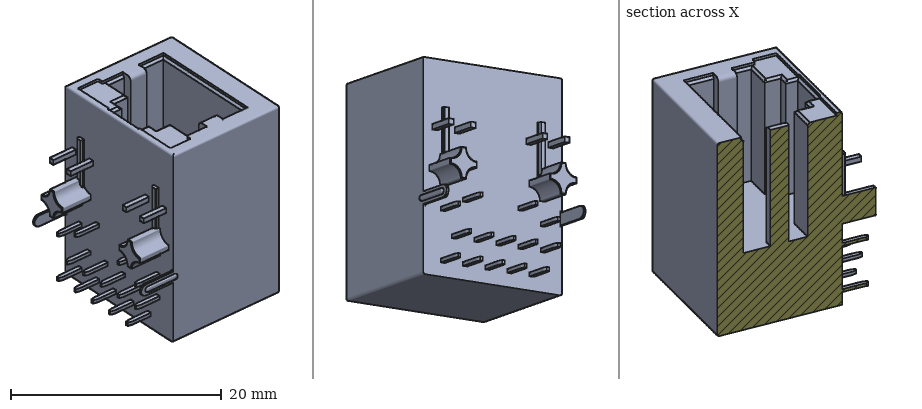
import cadquery as cq


body_width = 15.85
body_depth = 13.3
body_height = 21.25
edge_radius = 0.25
shell_thickness = 0.28
overlap = 0.1

mouth_half_width = 6.16
mouth_top = 10.75
mouth_bottom = 3.46
step_half_width = 3.35
step_bottom = 1.75
latch_half_width = 2.25
latch_bottom = 0.49
lead_in = 0.25
socket_depth = 12.75

lamp_half_width = 6.78
lamp_top = 3.15
lamp_bottom = 0.62
lamp_corner_radius = 0.13

tongue_bottom = 5.67
tongue_top = 7.67
tongue_inner_x = 5.0
tongue_bend_radius = 0.47

pin_columns = 5
pin_pitch = 2.53
pin_first_row = 1.57
pin_pair_spacing = 1.21
pin_width = 0.47
pin_thickness = 0.38
pin_length = 2.8
pin_taper_length = 0.49
pin_tip_width = 0.25
row_stagger = pin_pitch / 2
outer_pin_x = ((pin_columns - 1) * pin_pitch + row_stagger) / 2

lamp_pin_size = 0.55
lamp_pin_height = 14.5
lamp_pin_x = (4.08, 6.6)

post_height = 10.43
post_length = 3.6
post_half_span = 1.55
post_arm_half_width = 0.32
post_waist = 0.65
post_corner_radius = 0.1
post_end_chamfer = 0.08

rib_outer_x = 5.82
rib_width = 0.72
rib_rise = 0.38
rib_inner_chamfer = 0.17
rib_outer_chamfer = 0.1
rib_top = 16.51

blade_thickness = 0.23
blade_width = 1.25
blade_length = 4.0
blade_height = 7.44
blade_root_radius = 0.13
bead_width = 0.62
bead_rise = 0.2
bead_top_y = 0.49
bead_bottom_y = -3.48
bead_edge_radius = 0.17


def both_sides(solid):
    """The solid together with its mirror image across X = 0."""
    return solid.union(solid.mirror("YZ"))


def board_block(x, z, width, height, length):
    """A block centred on (x, z) standing on the board face."""
    return (
        cq.Workplane("XZ", origin=(x, overlap, z))
        .rect(width, height)
        .extrude(length + overlap)
    )


def make_shell():
    """Block with its edges rounded, except the side and bottom edges of the board face."""
    return (
        cq.Workplane("XY")
        .box(body_width, body_depth, body_height, centered=(True, False, False))
        .edges(">Z or >Y or (<Z and |Y)")
        .fillet(edge_radius)
    )


def socket_outline(z, inset):
    """Stepped socket outline at height z, moved inward by inset."""
    half_outline = [
        (mouth_half_width - inset, mouth_top - inset),
        (mouth_half_width - inset, mouth_bottom + inset),
        (step_half_width - inset, mouth_bottom + inset),
        (step_half_width - inset, step_bottom + inset),
        (latch_half_width - inset, step_bottom + inset),
        (latch_half_width - inset, latch_bottom + inset),
    ]
    mirrored = [(-x, y) for x, y in reversed(half_outline)]
    return cq.Workplane("XY", origin=(0, 0, z)).polyline(half_outline + mirrored).close()


def make_socket():
    """Volume removed for the socket: shell mouth, bevelled lead-in and straight cavity."""
    bevel_top = body_height - shell_thickness
    mouth = socket_outline(bevel_top, 0).extrude(shell_thickness)
    bevel = socket_outline(bevel_top, 0).extrude(-lead_in, taper=45)
    cavity = socket_outline(body_height - socket_depth, lead_in).extrude(socket_depth)
    return mouth.union(bevel).union(cavity)


def make_lamp_windows():
    """Volume removed from the shell to bare the front of the lamp housings."""
    window_z = body_height - shell_thickness
    mouth_overlap = mouth_bottom + lead_in
    lower = (
        cq.Workplane("XY", origin=(0, 0, window_z))
        .moveTo(0, (lamp_top + lamp_bottom) / 2)
        .rect(2 * lamp_half_width, lamp_top - lamp_bottom)
        .extrude(shell_thickness)
    )
    upper = (
        cq.Workplane("XY", origin=(0, 0, window_z))
        .moveTo(0, (lamp_top + mouth_overlap) / 2)
        .rect(2 * mouth_half_width, mouth_overlap - lamp_top)
        .extrude(shell_thickness)
    )
    return lower.union(upper).edges("|Z").fillet(lamp_corner_radius)


def make_tongue():
    """Tongue on the +X side wall of the socket, rounded where it bends into the mouth."""
    return (
        cq.Workplane("XY", origin=(tongue_inner_x, tongue_bottom, body_height - socket_depth))
        .box(
            mouth_half_width - tongue_inner_x,
            tongue_top - tongue_bottom,
            socket_depth,
            centered=False,
        )
        .edges(">Z and <X")
        .fillet(tongue_bend_radius)
    )


def make_contact_pin(x, z):
    """Flat contact pin whose tip narrows in X."""
    shoulder = -(pin_length - pin_taper_length)
    return (
        cq.Workplane("XY", origin=(x, 0, z - pin_thickness / 2))
        .moveTo(-pin_width / 2, overlap)
        .lineTo(-pin_width / 2, shoulder)
        .lineTo(-pin_tip_width / 2, -pin_length)
        .lineTo(pin_tip_width / 2, -pin_length)
        .lineTo(pin_width / 2, shoulder)
        .lineTo(pin_width / 2, overlap)
        .close()
        .extrude(pin_thickness)
    )


def contact_pin_places():
    """(x, z) of every contact pin: two staggered rows of five and two wider-spaced pairs above them."""
    second_row = pin_first_row + pin_pitch
    third_row = second_row + pin_pitch
    fourth_row = third_row + pin_pair_spacing
    places = []
    for column in range(pin_columns):
        offset = column * pin_pitch
        places.append((offset - outer_pin_x, pin_first_row))
        places.append((outer_pin_x - offset, second_row))
    for side in (-1, 1):
        places.append((side * outer_pin_x, third_row))
        places.append((side * (outer_pin_x - pin_pitch), fourth_row))
    return places


def make_post():
    """Four-armed locating post on the +X side, hollowed by an arc between each two arms."""
    span = post_half_span
    arm = post_arm_half_width
    waist = post_waist
    return (
        cq.Workplane("XZ", origin=(outer_pin_x, overlap, post_height))
        .moveTo(span, -arm)
        .lineTo(span, arm)
        .threePointArc((waist, waist), (arm, span))
        .lineTo(-arm, span)
        .threePointArc((-waist, waist), (-span, arm))
        .lineTo(-span, -arm)
        .threePointArc((-waist, -waist), (-arm, -span))
        .lineTo(arm, -span)
        .threePointArc((waist, -waist), (span, -arm))
        .close()
        .extrude(post_length + overlap)
        .edges("|Y")
        .fillet(post_corner_radius)
        .faces("<Y")
        .chamfer(post_end_chamfer)
    )


def make_rib():
    """Rib from the +X post upward, chamfered along both long edges."""
    rib_height = rib_top - post_height
    rib_x = rib_outer_x - rib_width / 2
    rib = board_block(rib_x, post_height + rib_height / 2, rib_width, rib_height, rib_rise)
    rib = rib.edges("<X and <Y").chamfer(rib_inner_chamfer)
    return rib.edges(">X and <Y").chamfer(rib_outer_chamfer)


def make_blade():
    """Round-ended ground blade flush with the +X side, with a bead pressed outward."""
    straight = blade_length - blade_width / 2
    root_half_width = blade_width / 2 + blade_root_radius
    side_x = body_width / 2
    blade = (
        cq.Workplane("YZ", origin=(side_x - blade_thickness, 0, blade_height))
        .moveTo(overlap, root_half_width)
        .lineTo(0, root_half_width)
        .radiusArc((-blade_root_radius, blade_width / 2), blade_root_radius)
        .lineTo(-straight, blade_width / 2)
        .threePointArc((-blade_length, 0), (-straight, -blade_width / 2))
        .lineTo(-blade_root_radius, -blade_width / 2)
        .radiusArc((0, -root_half_width), blade_root_radius)
        .lineTo(overlap, -root_half_width)
        .close()
        .extrude(blade_thickness)
    )
    bead_middle = (bead_top_y + bead_bottom_y) / 2
    bead = (
        cq.Workplane("YZ", origin=(side_x - overlap, bead_middle, blade_height))
        .slot2D(bead_top_y - bead_bottom_y, bead_width)
        .extrude(bead_rise + overlap)
        .faces(">X")
        .edges()
        .fillet(bead_edge_radius)
    )
    return blade.union(bead)


result = make_shell().cut(make_socket()).cut(make_lamp_windows())
result = result.union(both_sides(make_tongue()))

for pin_x, pin_z in contact_pin_places():
    result = result.union(make_contact_pin(pin_x, pin_z))

for pin_x in lamp_pin_x:
    lamp_pin = board_block(pin_x, lamp_pin_height, lamp_pin_size, lamp_pin_size, pin_length)
    result = result.union(both_sides(lamp_pin))

for board_feature in (make_post(), make_rib(), make_blade()):
    result = result.union(both_sides(board_feature))